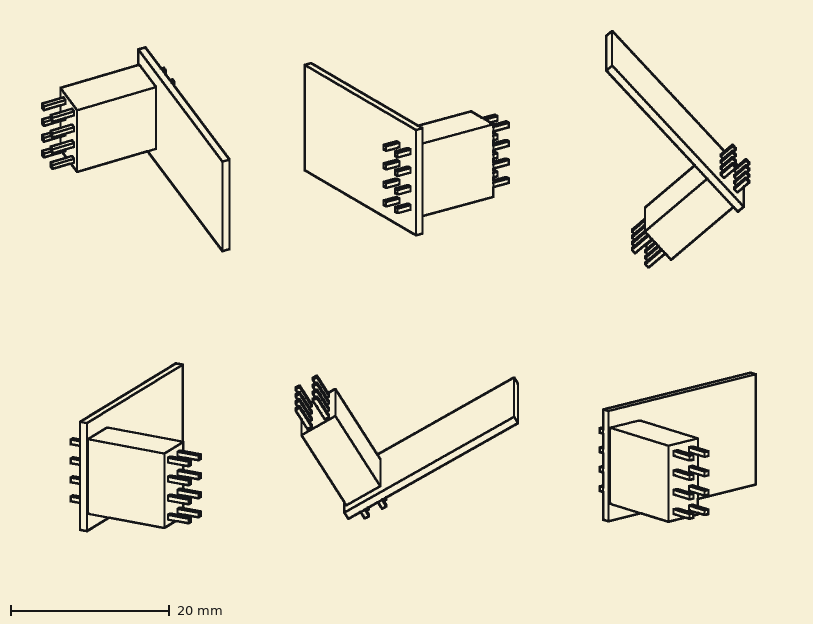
import cadquery as cq

board_length = 25.0
board_height = 14.5
board_thickness = 1.0

header_width = 5.0
header_height = 10.0
header_depth = 11.0
header_edge_gap = 0.3

pin_columns = 2
pin_rows = 4
pin_pitch = 2.55
pin_side = 0.62
pin_front_length = 3.0
pin_back_length = 2.0

header_center_x = -board_length / 2 + header_edge_gap + header_width / 2
pin_front_y = -header_depth - pin_front_length
pin_length = pin_front_length + header_depth + board_thickness + pin_back_length


def make_board():
    return cq.Workplane("XY").box(
        board_length, board_thickness, board_height, centered=(True, False, True)
    )


def make_header():
    block = cq.Workplane("XY").box(
        header_width, header_depth, header_height, centered=(True, False, True)
    )
    return block.translate((header_center_x, -header_depth, 0))


def make_pins():
    return (
        cq.Workplane("XZ", origin=(header_center_x, pin_front_y, 0))
        .rarray(pin_pitch, pin_pitch, pin_columns, pin_rows)
        .rect(pin_side, pin_side)
        .extrude(-pin_length)
    )


result = make_board().union(make_header()).union(make_pins())